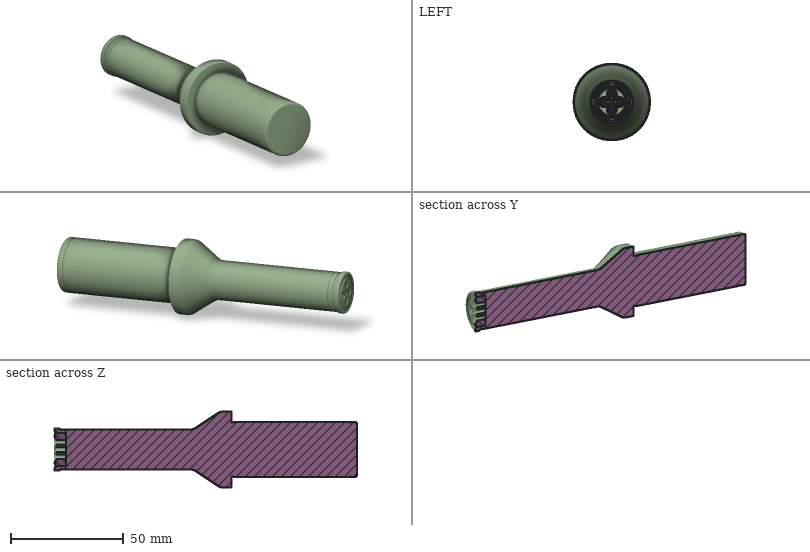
import cadquery as cq
import math

length = 135.0
shaft_diameter = 18.0
flange_diameter = 34.0
shank_diameter = 25.0
groove_diameter = 24.5

collar_diameter = 18.9
collar_length = 2.3
tip_rounding = 0.5
collar_rear_chamfer = 0.3
tip_land_diameter = 18.1
tip_land_end = 4.2
tip_groove_starts = (2.8, 5.1)
tip_groove_width = 0.5
tip_groove_depth = 0.3

cone_start = 62.0
cone_end = 74.0
cone_root_radius = 5.4
cone_rim_radius = 3.1
flange_end = 79.1
flange_chamfer = 0.4

neck_length = 0.7
neck_bevel_length = 1.1
end_groove_start = 131.1
end_groove_floor_start = 131.8
end_groove_end = 132.2
shank_end_radius = 1.2

insert_diameter = 14.3
insert_depth = 5.0
insert_face_diameter = 12.7
seat_mouth_diameter = 16.5
center_hole_diameter = 1.9
center_rim_diameter = 3.6
contact_count = 4
contact_circle_diameter = 6.5
contact_hole_diameter = 1.6
contact_step_diameters = (3.2, 4.5)
step_depth = 0.4

tip_x = -length / 2


def cylinder(start, end, diameter):
    """Cylinder on the X axis between two distances from the tip."""
    return cq.Workplane("YZ", origin=(tip_x + start, 0, 0)).circle(diameter / 2).extrude(end - start)


def ring(start, width, outer_diameter, inner_diameter):
    """Ring on the X axis, used to cut an outside groove."""
    end = start + width
    return cylinder(start, end, outer_diameter).cut(cylinder(start, end, inner_diameter))


def end_groove():
    """Ring with one sloping wall, used to cut the groove near the shank end."""
    groove_radius = groove_diameter / 2
    shank_radius = shank_diameter / 2
    return (
        cq.Workplane("XY")
        .moveTo(tip_x + end_groove_start, shank_radius)
        .lineTo(tip_x + end_groove_floor_start, groove_radius)
        .lineTo(tip_x + end_groove_end, groove_radius)
        .lineTo(tip_x + end_groove_end, shank_radius)
        .close()
        .revolve(360, (0, 0, 0), (1, 0, 0))
    )


def make_cone():
    """Flared cone with the flange, rounded at its root and its rim."""
    shaft_radius = shaft_diameter / 2
    flange_radius = flange_diameter / 2
    slope = math.atan2(flange_radius - shaft_radius, cone_end - cone_start)
    root_tangent = cone_root_radius * math.tan(slope / 2)
    rim_tangent = cone_rim_radius * math.tan(slope / 2)
    root_start = cone_start - root_tangent
    rim_stop = cone_end + rim_tangent

    def root_point(angle):
        return (
            tip_x + root_start + cone_root_radius * math.sin(angle),
            shaft_radius + cone_root_radius * (1 - math.cos(angle)),
        )

    def rim_point(angle):
        return (
            tip_x + rim_stop - cone_rim_radius * math.sin(angle),
            flange_radius - cone_rim_radius * (1 - math.cos(angle)),
        )

    return (
        cq.Workplane("XY")
        .moveTo(tip_x + root_start, 0)
        .lineTo(*root_point(0))
        .threePointArc(root_point(slope / 2), root_point(slope))
        .lineTo(*rim_point(slope))
        .threePointArc(rim_point(slope / 2), rim_point(0))
        .lineTo(tip_x + flange_end - flange_chamfer, flange_radius)
        .lineTo(tip_x + flange_end, flange_radius - flange_chamfer)
        .lineTo(tip_x + flange_end, 0)
        .close()
        .revolve(360, (0, 0, 0), (1, 0, 0))
    )


def make_shank():
    """Rear shank with a neck behind the flange and a groove near its end."""
    neck_end = flange_end + neck_length
    neck = cylinder(flange_end, neck_end, groove_diameter)
    bevel = (
        cq.Workplane("YZ", origin=(tip_x + neck_end, 0, 0))
        .circle(groove_diameter / 2)
        .workplane(offset=neck_bevel_length)
        .circle(shank_diameter / 2)
        .loft(ruled=True)
    )
    shank = cylinder(neck_end + neck_bevel_length, length, shank_diameter)
    shank = shank.faces(">X").edges().fillet(shank_end_radius)
    shank = shank.cut(end_groove())
    return neck.union(bevel).union(shank)


def make_housing():
    """Shaft, tip collar, cone, flange and shank, with a seat for the insert."""
    collar = cylinder(0, collar_length, collar_diameter)
    collar = collar.faces("<X").edges().fillet(tip_rounding)
    collar = collar.faces(">X").edges().chamfer(collar_rear_chamfer)
    land = cylinder(collar_length, tip_land_end, tip_land_diameter)
    shaft = cylinder(collar_length, cone_start, shaft_diameter).union(land)
    for start in tip_groove_starts:
        groove_floor = shaft_diameter - 2 * tip_groove_depth
        shaft = shaft.cut(ring(start, tip_groove_width, collar_diameter, groove_floor))
    housing = shaft.union(collar).union(make_cone()).union(make_shank())
    housing = housing.cut(cylinder(0, insert_depth, insert_diameter))
    return housing.cut(cylinder(0, step_depth, seat_mouth_diameter))


def make_contact_insert():
    """Round insert flush with the tip, with a center hole and four stepped contact holes."""
    insert = cylinder(step_depth, insert_depth, insert_diameter)
    insert = insert.union(cylinder(0, insert_depth, insert_face_diameter))
    insert = insert.cut(cylinder(0, insert_depth, center_hole_diameter))
    insert = insert.cut(cylinder(0, len(contact_step_diameters) * step_depth, center_rim_diameter))
    for index in range(contact_count):
        angle = 2 * math.pi * index / contact_count
        offset_y = contact_circle_diameter / 2 * math.cos(angle)
        offset_z = contact_circle_diameter / 2 * math.sin(angle)
        hole = cylinder(0, insert_depth, contact_hole_diameter)
        for level, step_diameter in enumerate(reversed(contact_step_diameters), start=1):
            hole = hole.union(cylinder(0, level * step_depth, step_diameter))
        insert = insert.cut(hole.translate((0, offset_y, offset_z)))
    return insert


housing = make_housing()
contact_insert = make_contact_insert()
result = cq.Compound.makeCompound([housing.val(), contact_insert.val()])